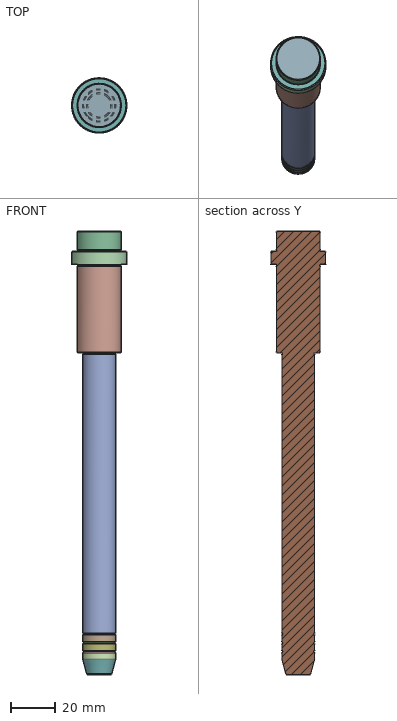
import cadquery as cq

total_length = 200.0
shaft_diameter = 15.0

head_diameter = 20.0
head_length = 55.0
head_top_chamfer = 0.5
head_end_chamfer = 0.5

collar_diameter = 25.0
collar_top_depth = 9.0
collar_height = 6.0
collar_chamfer = 0.5

relief_depth = 0.3
collar_top_relief_width = 0.5
collar_bottom_relief_width = 1.0
shaft_relief_width = 0.5

groove_count = 3
groove_pitch = 4.0
groove_width = 1.0
groove_depth = 0.5
lowest_groove_height = 10.5

tip_length = 7.0
tip_diameter = 11.5
tip_chamfer = 0.5

shaft_radius = shaft_diameter / 2
head_radius = head_diameter / 2
collar_radius = collar_diameter / 2
tip_radius = tip_diameter / 2
head_bottom = total_length - head_length
collar_top = total_length - collar_top_depth
collar_bottom = collar_top - collar_height


def revolve_outline(points):
    """Solid of revolution about Z from (radius, height) points."""
    return cq.Workplane("XZ").polyline(points).close().revolve(360, (0, 0), (0, 1))


def v_groove(surface_radius, height, width, depth):
    """Ring cutter with a V section, centred at the given height."""
    return revolve_outline([
        (surface_radius, height - width / 2),
        (surface_radius, height + width / 2),
        (surface_radius - depth, height),
    ])


result = revolve_outline([
    (0, 0),
    (tip_radius - tip_chamfer, 0),
    (tip_radius, tip_chamfer),
    (shaft_radius, tip_length),
    (shaft_radius, head_bottom),
    (head_radius - head_end_chamfer, head_bottom),
    (head_radius, head_bottom + head_end_chamfer),
    (head_radius, collar_bottom),
    (collar_radius, collar_bottom),
    (collar_radius, collar_top - collar_chamfer),
    (collar_radius - collar_chamfer, collar_top),
    (head_radius, collar_top),
    (head_radius, total_length - head_top_chamfer),
    (head_radius - head_top_chamfer, total_length),
    (0, total_length),
])

for radius, height, width in [
    (head_radius, collar_top + collar_top_relief_width / 2, collar_top_relief_width),
    (head_radius, collar_bottom - collar_bottom_relief_width / 2, collar_bottom_relief_width),
    (shaft_radius, head_bottom - shaft_relief_width / 2, shaft_relief_width),
]:
    result = result.cut(v_groove(radius, height, width, relief_depth))

for index in range(groove_count):
    groove_height = lowest_groove_height + index * groove_pitch
    result = result.cut(v_groove(shaft_radius, groove_height, groove_width, groove_depth))